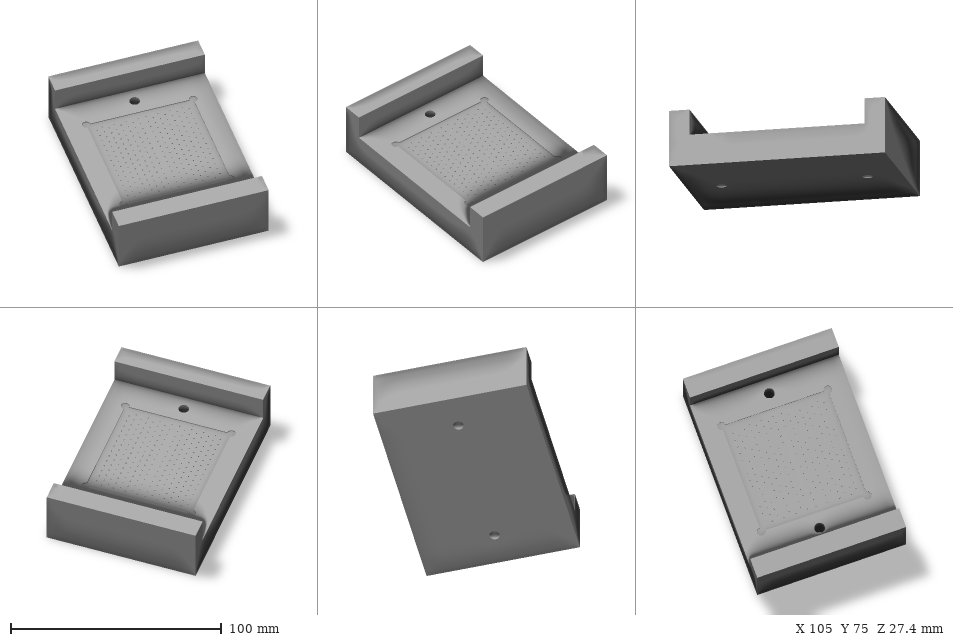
import cadquery as cq

length = 105.0
width = 75.0
height = 27.4
floor_height = 15.0
wall_thickness = 10.0
channel_width = length - 2 * wall_thickness

pocket_length = 55.8
pocket_width = 53.5
pocket_depth = 0.4
relief_diameter = 4.0
pocket_floor = floor_height - pocket_depth

side_hole_diameter = 5.0
side_hole_spacing = 71.0

pin_diameter = 0.6
long_row_pins = 15
long_row_length = 48.9
rows_per_band = 8
band_width = 21.0
band_gap = 4.0
pin_pitch = long_row_length / (long_row_pins - 1)
row_pitch = band_width / (rows_per_band - 1)


def make_body():
    block = cq.Workplane("XY").box(length, width, height, centered=(True, True, False))
    channel = (
        cq.Workplane("XY", origin=(0, 0, floor_height))
        .rect(channel_width, width)
        .extrude(height - floor_height)
    )
    return block.cut(channel)


def make_pocket():
    recess = (
        cq.Workplane("XY", origin=(0, 0, pocket_floor))
        .rect(pocket_length, pocket_width)
        .extrude(pocket_depth)
    )
    reliefs = (
        cq.Workplane("XY", origin=(0, 0, pocket_floor))
        .rect(pocket_length, pocket_width, forConstruction=True)
        .vertices()
        .circle(relief_diameter / 2)
        .extrude(pocket_depth)
    )
    return recess.union(reliefs)


def make_side_holes():
    return (
        cq.Workplane("XY")
        .pushPoints([(-side_hole_spacing / 2, 0), (side_hole_spacing / 2, 0)])
        .circle(side_hole_diameter / 2)
        .extrude(floor_height)
    )


def pin_points():
    points = []
    for row in range(rows_per_band):
        pin_count = long_row_pins - row % 2
        row_start = -(pin_count - 1) * pin_pitch / 2
        row_y = band_gap / 2 + row * row_pitch
        for pin in range(pin_count):
            x = row_start + pin * pin_pitch
            points += [(x, row_y), (x, -row_y)]
    return points


def make_pins():
    return (
        cq.Workplane("XY", origin=(0, 0, pocket_floor))
        .pushPoints(pin_points())
        .circle(pin_diameter / 2)
        .extrude(pocket_depth)
    )


result = make_body().cut(make_pocket()).cut(make_side_holes()).union(make_pins())